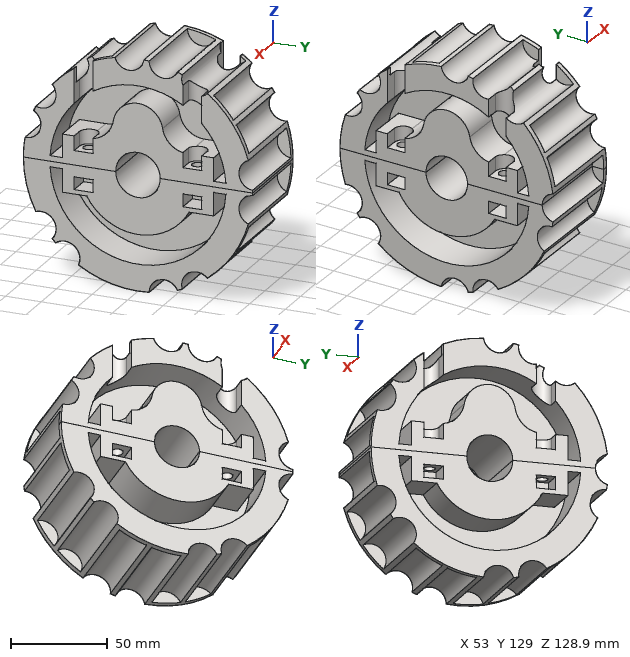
import cadquery as cq
import math

WIDTH = 53.0
OUTER_RADIUS = 64.5
BORE_RADIUS = 12.5
HALF_WIDTH = WIDTH / 2

RECESS_RADIUS = 49.5
RECESS_DEPTH = 22.5
SPLIT_FLANGE = 3.1

PLATE_HALF_LENGTH = 42.6
PLATE_HEIGHT = 16.1
BOSS_RADIUS = 14.0
BOSS_TOP = 39.7
LOWER_HUB_RADIUS = 33.0

BOLT_OFFSET = 30.6
BOLT_INSET = 7.0
BOLT_HOLE_RADIUS = 3.1
HEAD_SLOT_WIDTH = 10.6
HEAD_SLOT_FLOOR = 8.0
NUT_POCKET_TOP = 6.6
NUT_POCKET_BOTTOM = 13.7

GROOVE_COUNT = 21
GROOVE_RADIUS = 8.4
GROOVE_CENTER_RADIUS = 65.9
GROOVE_END_WALL = 3.0
THROUGH_GROOVE = 5
MINUS_X_GROOVES = (-9, -8, -5, -4, -1, 0, 3, 4, 8, 9)
LAST_GROOVE = GROOVE_COUNT // 2

SIDES = (-1, 1)
BOLT_X = HALF_WIDTH - BOLT_INSET
SLOT_END_RADIUS = HEAD_SLOT_WIDTH / 2
POCKET_DEPTH = BOLT_INSET + SLOT_END_RADIUS


def prism(outline, x_start, x_end):
    """Extrude a closed outline in the YZ plane from x_start to x_end."""
    return outline.extrude(x_end - x_start).translate((x_start, 0, 0))


def yz():
    return cq.Workplane("YZ")


def box(x_range, y_range, z_range):
    """Box between the given limits on each axis."""
    sizes = [high - low for low, high in (x_range, y_range, z_range)]
    corner = (x_range[0], y_range[0], z_range[0])
    return cq.Workplane("XY").box(*sizes, centered=False).translate(corner)


def half_disc(radius, side, x_start, x_end, flat=0.0):
    """Part of a disc on one side (+1 up, -1 down) of a flat parallel to the split plane."""
    disc = prism(yz().circle(radius), x_start, x_end)
    z_range = sorted((side * flat, side * radius))
    return disc.intersect(box((x_start, x_end), (-radius, radius), z_range))


def upper_hub_outline():
    """Plate with a round boss blended into its top by a fillet on each side."""
    boss_z = BOSS_TOP - BOSS_RADIUS
    fillet_z = PLATE_HEIGHT + BOSS_RADIUS
    fillet_y = math.sqrt((2 * BOSS_RADIUS) ** 2 - (fillet_z - boss_z) ** 2)
    blend_y = fillet_y / 2
    blend_z = (boss_z + fillet_z) / 2
    lowest_angle = -math.pi / 2
    blend_angle = math.atan2(blend_z - fillet_z, fillet_y - blend_y)
    middle_angle = (lowest_angle + blend_angle) / 2
    middle_y = fillet_y - BOSS_RADIUS * math.cos(middle_angle)
    middle_z = fillet_z + BOSS_RADIUS * math.sin(middle_angle)
    return (
        yz()
        .moveTo(-PLATE_HALF_LENGTH, 0)
        .lineTo(-PLATE_HALF_LENGTH, PLATE_HEIGHT)
        .lineTo(-fillet_y, PLATE_HEIGHT)
        .threePointArc((-middle_y, middle_z), (-blend_y, blend_z))
        .threePointArc((0, BOSS_TOP), (blend_y, blend_z))
        .threePointArc((middle_y, middle_z), (fillet_y, PLATE_HEIGHT))
        .lineTo(PLATE_HALF_LENGTH, PLATE_HEIGHT)
        .lineTo(PLATE_HALF_LENGTH, 0)
        .close()
    )


def upper_hub(x_start, x_end):
    return prism(upper_hub_outline(), x_start, x_end)


def lower_hub(x_start, x_end):
    """Plate with a rounded belly concentric with the bore."""
    plate_y = (-PLATE_HALF_LENGTH, PLATE_HALF_LENGTH)
    plate = box((x_start, x_end), plate_y, (-PLATE_HEIGHT, 0))
    return plate.union(half_disc(LOWER_HUB_RADIUS, -1, x_start, x_end))


def end_ranges(depth):
    """X limits of a cut of the given depth into each end face."""
    return (-HALF_WIDTH, depth - HALF_WIDTH), (HALF_WIDTH - depth, HALF_WIDTH)


def groove(index):
    """Round groove in the rim, counted upward from the -Y side, with a wall at one end."""
    angle = 2 * math.pi * index / GROOVE_COUNT
    y = -GROOVE_CENTER_RADIUS * math.cos(angle)
    z = GROOVE_CENTER_RADIUS * math.sin(angle)
    x_start = -HALF_WIDTH
    x_end = HALF_WIDTH
    if index != THROUGH_GROOVE:
        if index in MINUS_X_GROOVES:
            x_end -= GROOVE_END_WALL
        else:
            x_start += GROOVE_END_WALL
    return prism(yz().center(y, z).circle(GROOVE_RADIUS), x_start, x_end)


def bolt_positions():
    return [(x_side, y_side * BOLT_OFFSET) for x_side in SIDES for y_side in SIDES]


def bolt_hole(x_side, y):
    """Bolt hole from the head slot's floor down to the nut pocket."""
    hole = cq.Workplane("XY").center(x_side * BOLT_X, y).circle(BOLT_HOLE_RADIUS)
    return hole.extrude(HEAD_SLOT_FLOOR + NUT_POCKET_TOP).translate((0, 0, -NUT_POCKET_TOP))


def head_slot(x_side, y):
    """Round-ended slot open to the end face and up through the rim, for the bolt head."""
    x_range = sorted((x_side * BOLT_X, x_side * HALF_WIDTH))
    y_range = (y - SLOT_END_RADIUS, y + SLOT_END_RADIUS)
    straight = box(x_range, y_range, (HEAD_SLOT_FLOOR, OUTER_RADIUS))
    rounded_end = cq.Workplane("XY").center(x_side * BOLT_X, y).circle(SLOT_END_RADIUS)
    rounded_end = rounded_end.extrude(OUTER_RADIUS - HEAD_SLOT_FLOOR)
    return straight.union(rounded_end.translate((0, 0, HEAD_SLOT_FLOOR)))


def nut_pocket(x_side, y):
    """Rectangular pocket open to the end face, for the nut."""
    x_range = sorted((x_side * (HALF_WIDTH - POCKET_DEPTH), x_side * HALF_WIDTH))
    y_range = (y - SLOT_END_RADIUS, y + SLOT_END_RADIUS)
    return box(x_range, y_range, (-NUT_POCKET_BOTTOM, -NUT_POCKET_TOP))


def wheel_half(side, hub):
    """Half wheel with its bore, recesses, rim grooves and bolt holes."""
    half = half_disc(OUTER_RADIUS, side, -HALF_WIDTH, HALF_WIDTH)
    half = half.cut(prism(yz().circle(BORE_RADIUS), -HALF_WIDTH, HALF_WIDTH))
    for x_start, x_end in end_ranges(RECESS_DEPTH):
        recess = half_disc(RECESS_RADIUS, side, x_start, x_end, SPLIT_FLANGE)
        half = half.cut(recess.cut(hub(x_start, x_end)))
    for index in range(-LAST_GROOVE, LAST_GROOVE + 1):
        half = half.cut(groove(index))
    for position in bolt_positions():
        half = half.cut(bolt_hole(*position))
    return half


upper_half = wheel_half(1, upper_hub)
for position in bolt_positions():
    upper_half = upper_half.cut(head_slot(*position))

lower_half = wheel_half(-1, lower_hub)
for position in bolt_positions():
    lower_half = lower_half.cut(nut_pocket(*position))

result = cq.Compound.makeCompound([upper_half.val(), lower_half.val()])